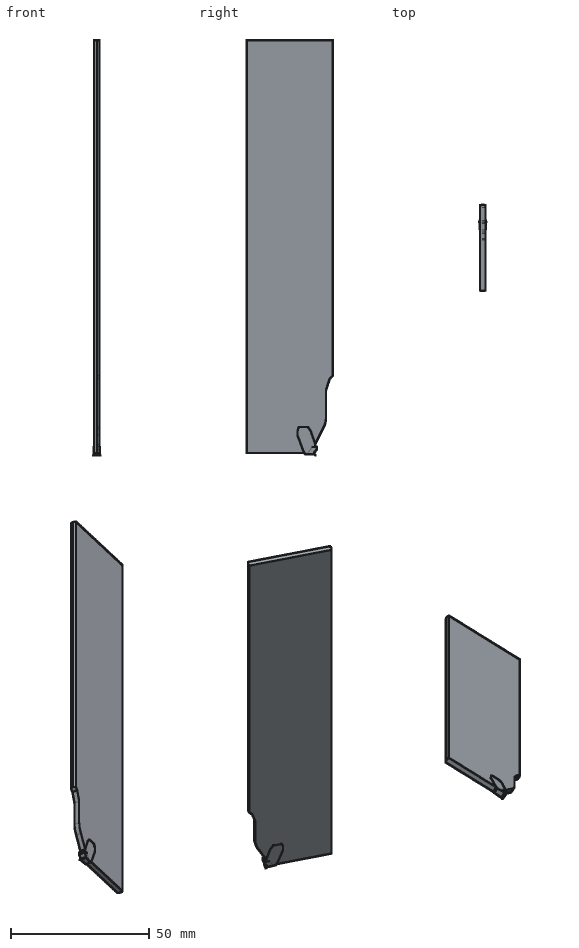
import cadquery as cq
import math

head_width = 2.5
blade_thickness = 2.1
blade_width = 31.4
blade_top = 150.0
blade_bottom = 0.9
ridge_depth = 0.3

step_top = 29.0
neck_y = 28.8
step_shoulder = (30.2, 27.8)
step_end = (neck_y, 23.5)
neck_end = (neck_y, 13.8)
neck_arc_middle = (28.5, 11.5)
neck_arc_end = (27.6, 9.6)
seat_mouth = (24.9, 4.0)

insert_shoulder = (23.2, 8.8)
insert_top_front = (22.2, 10.4)
insert_top_back = (19.0, 10.4)
insert_back_top = (18.6, 9.6)
insert_back_bottom = (18.5, 7.4)
insert_heel = (20.8, blade_bottom)
insert_base_back = (21.3, 0.5)
insert_base_front = (24.5, 0.5)
cutting_tip = (25.0, 0.0)
rake_foot = (24.5, 0.9)
chip_lip_bottom = (25.5, 2.2)
chip_lip_top = (25.5, 3.2)
chip_lip_root = (25.0, 3.5)

flare_top = (23.8, 3.2)
flare_bottom = (22.2, 0.9)


def side_plane(x):
    """Plane facing +X whose local axes are Y and Z."""
    return cq.Workplane("YZ", origin=(x, 0, 0))


def make_insert_blank(width):
    """Side outline of the insert extruded to a given width, centred on X = 0."""
    return (
        side_plane(-width / 2)
        .polyline([
            seat_mouth, insert_shoulder, insert_top_front, insert_top_back,
            insert_back_top, insert_back_bottom, insert_heel, insert_base_back,
            insert_base_front, cutting_tip, rake_foot, chip_lip_bottom,
            chip_lip_top, chip_lip_root,
        ])
        .close()
        .extrude(width)
    )


def make_head_block():
    """Block below the chip lip that widens from the flare line to full width at the tip."""
    along_y = flare_bottom[0] - flare_top[0]
    along_z = flare_bottom[1] - flare_top[1]
    tip_y = cutting_tip[0] - flare_top[0]
    tip_z = cutting_tip[1] - flare_top[1]
    tip_distance = (along_y * tip_z - along_z * tip_y) / math.hypot(along_y, along_z)

    across_flare_line = cq.Plane(
        origin=(0, *flare_top), xDir=(1, 0, 0), normal=(0, along_y, along_z)
    )
    wedge = (
        cq.Workplane(across_flare_line)
        .polyline([
            (-blade_thickness / 2, 0), (blade_thickness / 2, 0),
            (head_width / 2, -tip_distance), (-head_width / 2, -tip_distance),
        ])
        .close()
        .extrude(blade_width, both=True)
    )
    below_lip = cq.Workplane("XY").box(
        head_width, 2 * blade_width, flare_top[1], centered=(True, True, False)
    )
    return wedge.intersect(below_lip)


def make_insert():
    """Cutting insert as thick as the blade, with a wider head at the cutting tip."""
    head = make_insert_blank(head_width).intersect(make_head_block())
    return make_insert_blank(blade_thickness).union(head)


def make_blade():
    """Flat blade with a ridge along both long edges and a seat for the insert."""
    blade = (
        side_plane(-blade_thickness / 2)
        .moveTo(0, blade_bottom)
        .lineTo(0, blade_top)
        .lineTo(blade_width, blade_top)
        .lineTo(blade_width, step_top)
        .lineTo(*step_shoulder)
        .lineTo(*step_end)
        .lineTo(*neck_end)
        .threePointArc(neck_arc_middle, neck_arc_end)
        .lineTo(*seat_mouth)
        .lineTo(*insert_heel)
        .close()
        .extrude(blade_thickness)
    )
    half = blade_thickness / 2
    ridged_section = (
        cq.Workplane("XY")
        .polyline([
            (-half, ridge_depth), (0, 0), (half, ridge_depth),
            (half, blade_width - ridge_depth), (0, blade_width), (-half, blade_width - ridge_depth),
        ])
        .close()
        .extrude(blade_top)
    )
    return blade.intersect(ridged_section).cut(make_insert_blank(blade_thickness))


blade = make_blade()
insert = make_insert()

result = cq.Compound.makeCompound([blade.val(), insert.val()])